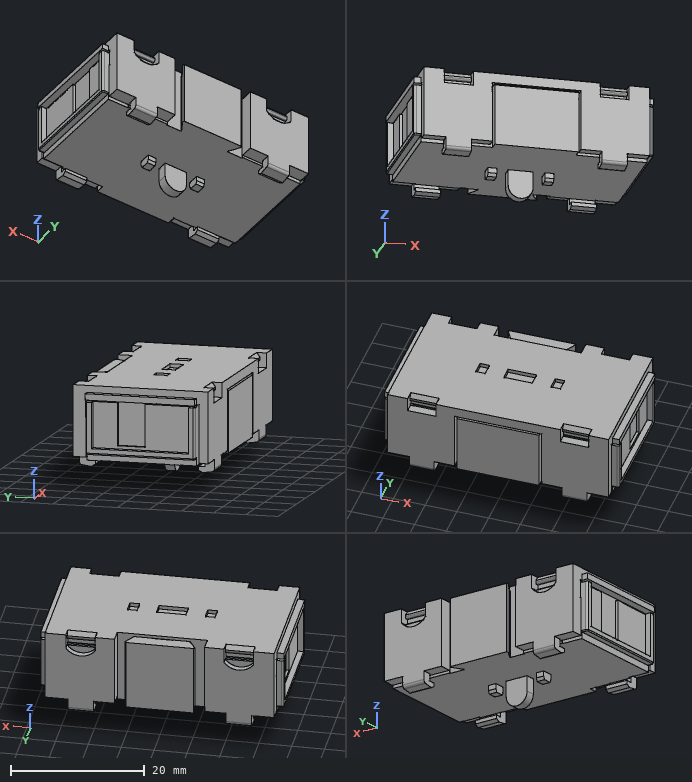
import cadquery as cq
import math

overall_length = 37.0
cover_length = 34.85
cover_width = 21.0
cover_top = 11.4
cover_bottom = 0.45
pin_bottom = -4.4

end_x = overall_length / 2
cover_x = cover_length / 2
cover_y = cover_width / 2

base_front_y = -9.1
base_rear_y = 8.47
base_top = 9.35
frame_top = 9.03

frame_front_y = -8.75
frame_rear_y = 8.3
frame_bottom = 1.07
frame_edge_x = 0.37
frame_edge_y = 0.22
frame_edge_radius = 0.45
frame_bottom_bevel_inset = 0.1
frame_bottom_bevel_z = 0.22
bar_top = 10.32

window_front_y = -7.77
window_rear_y = 7.33
window_bottom = 2.0
window_depth = 0.92
channel_front_y = -0.78
channel_rear_y = 3.5
channel_bottom = 2.48
channel_depth = 0.3
end_gap_inner_x = 13.88
bar_gap_front_y = -2.45
bar_gap_rear_y = 4.18
rear_gap_y = 8.6
rear_gap_step = 6.55

panel_half_width = 6.48
panel_top = 9.73
panel_bevel_height = 0.22
panel_bevel_depth = 0.15
groove_half_width = 6.85
groove_top = 9.85
groove_step_depth = 0.2

bay_half_width = 6.85
bay_y = 8.3
dovetail_top = 11.03
dovetail_narrow_half = 4.25
dovetail_wide_half = 5.33
dovetail_corner = 0.2
dovetail_neck_drop = 0.37
neck_rib_half = 1.6
neck_rib_drop = 0.2

clip_x = 12.02
clip_width = 4.45
clip_floor = 9.15
clip_back_y = 8.95
lip_y = 9.47
lip_slope_bottom = 10.7
lip_bottom = 10.15
lip_radius = 0.3
scoop_sag = 1.1

foot_width = 3.92
foot_inner_y = 9.03
hook_y = 8.0
hook_top = -0.7
hook_nose_bottom = -1.3
foot_bottom = -1.65
foot_toe_y = 8.65
foot_heel_y = 10.15
foot_heel_bottom = -1.45
foot_heel_top = -0.92
foot_heel_mid_inset = 0.07
foot_heel_mid_z = -1.25

pocket_width = 2.07
pocket_depth = 0.6
centre_pocket_length = 4.48
side_pocket_length = 1.48
side_pocket_x = 5.92
pin_radius = 1.92
pin_thickness = 1.6
post_x = 4.4
post_length = 1.37
post_width = 1.85
post_bottom = -1.35
post_bevel_height = 0.5
post_bevel = 0.22

SIDES = (-1, 1)


def block(x, y, z):
    """Box spanning the given (low, high) pairs."""
    size = (x[1] - x[0], y[1] - y[0], z[1] - z[0])
    return cq.Workplane("XY").box(*size, centered=False).translate((x[0], y[0], z[0]))


def end_block(side, inner_x, outer_x, y, z):
    """Box at the +X or -X end, between two distances from the middle."""
    x = sorted((side * inner_x, side * outer_x))
    return block(x, y, z)


def along_x(profile, centre_x, width):
    """Extrude a closed YZ profile symmetrically about centre_x."""
    return profile.extrude(width / 2, both=True).translate((centre_x, 0, 0))


def mirrored_to_rear(solid):
    return solid.mirror("XZ")


def cover_and_base():
    cover = block((-cover_x, cover_x), (-cover_y, cover_y), (cover_bottom, cover_top))
    base = block((-cover_x, cover_x), (base_front_y, base_rear_y), (0, base_top))
    return cover.union(base)


def end_frame(side):
    """Frame with rounded upright edges and a bevelled lower edge, rooted inside the base."""
    face_x = side * end_x
    root_x = side * (cover_x - channel_depth)
    rounded_x = side * (end_x - frame_edge_x)
    arc_radius = side * frame_edge_radius
    bevel_top = frame_bottom + frame_bottom_bevel_z
    upright = (
        cq.Workplane("XY", origin=(0, 0, bevel_top))
        .moveTo(root_x, frame_front_y)
        .lineTo(rounded_x, frame_front_y)
        .radiusArc((face_x, frame_front_y + frame_edge_y), -arc_radius)
        .lineTo(face_x, frame_rear_y - frame_edge_y)
        .radiusArc((rounded_x, frame_rear_y), -arc_radius)
        .lineTo(root_x, frame_rear_y)
        .close()
        .extrude(frame_top - bevel_top)
    )
    bevel_angle = math.degrees(math.atan2(frame_bottom_bevel_inset, frame_bottom_bevel_z))
    lower_edge = (
        upright.faces("<Z")
        .workplane()
        .add(upright.faces("<Z").wires())
        .toPending()
        .extrude(frame_bottom_bevel_z, taper=bevel_angle, combine=False)
    )
    return upright.union(lower_edge)


def end_bar(side):
    return end_block(side, cover_x, end_x, (frame_front_y, frame_rear_y), (base_top, bar_top))


def end_window(side):
    """Open-topped recess in the frame, with a deeper channel that widens under the bar."""
    floor_x = end_x - window_depth
    channel_x = cover_x - channel_depth
    window = end_block(side, floor_x, end_x, (window_front_y, window_rear_y), (window_bottom, frame_top))
    channel = end_block(
        side, channel_x, end_x, (channel_front_y, channel_rear_y), (channel_bottom, frame_top)
    )
    under_bar = end_block(
        side, channel_x, end_x, (bar_gap_front_y, bar_gap_rear_y), (frame_top, base_top)
    )
    slope = (
        cq.Workplane("XZ", origin=(0, frame_rear_y, 0))
        .moveTo(side * cover_x, frame_top)
        .lineTo(side * cover_x, base_top)
        .lineTo(side * channel_x, base_top)
        .close()
        .extrude(frame_rear_y - frame_front_y)
    )
    return window.union(channel).union(under_bar).union(slope)


def end_gaps(side):
    """Narrow gaps between the base and the long walls of the cover, open at one end."""
    front = end_block(side, end_gap_inner_x, cover_x, (base_front_y, frame_front_y), (0, base_top))
    rear = end_block(side, end_gap_inner_x, cover_x, (frame_rear_y, base_rear_y), (0, base_top))
    rear_upper = end_block(side, end_gap_inner_x, cover_x, (base_rear_y, rear_gap_y), (rear_gap_step, base_top))
    return front.union(rear).union(rear_upper)


def panel_groove():
    """Groove in the front face, leaving the panel standing inside it."""
    outer = (-groove_half_width, groove_half_width)
    groove = block(outer, (-cover_y, base_front_y), (0, groove_top))
    step = block(outer, (base_front_y, base_front_y + groove_step_depth), (frame_top, groove_top))
    return groove.union(step)


def front_panel():
    """Panel flush with the cover, with a bevel along its top front edge."""
    profile = (
        cq.Workplane("YZ")
        .moveTo(-cover_y, 0)
        .lineTo(-cover_y, panel_top - panel_bevel_height)
        .lineTo(-cover_y + panel_bevel_depth, panel_top)
        .lineTo(base_front_y + groove_step_depth, panel_top)
        .lineTo(base_front_y + groove_step_depth, 0)
        .close()
    )
    return along_x(profile, 0, 2 * panel_half_width)


def rear_bay():
    return block((-bay_half_width, bay_half_width), (bay_y, cover_y), (0, cover_top))


def dovetail():
    shoulder_y = cover_y - dovetail_corner
    right_side = [
        (dovetail_narrow_half, base_rear_y),
        (dovetail_wide_half, shoulder_y),
        (dovetail_wide_half - dovetail_corner, cover_y),
    ]
    left_side = [(-x, y) for x, y in reversed(right_side)]
    tail = cq.Workplane("XY").polyline(right_side + left_side).close().extrude(dovetail_top)
    neck_top = dovetail_top - dovetail_neck_drop
    neck = block((-dovetail_narrow_half, dovetail_narrow_half), (bay_y, base_rear_y), (0, neck_top))
    rib = block((-neck_rib_half, neck_rib_half), (bay_y, base_rear_y), (0, dovetail_top - neck_rib_drop))
    return tail.union(neck).union(rib)


def front_clip_window(x):
    """Edge notch at the front with an overhanging, sloped lip at its back."""
    profile = (
        cq.Workplane("YZ")
        .moveTo(-cover_y, cover_top)
        .lineTo(-clip_back_y, cover_top)
        .lineTo(-lip_y, lip_slope_bottom)
        .lineTo(-lip_y, lip_bottom + lip_radius)
        .radiusArc((-lip_y + lip_radius, lip_bottom), -lip_radius)
        .lineTo(-clip_back_y, lip_bottom)
        .lineTo(-clip_back_y, base_top)
        .lineTo(base_front_y, base_top)
        .lineTo(base_front_y, clip_floor)
        .lineTo(-cover_y, clip_floor)
        .close()
    )
    return along_x(profile, x, clip_width)


def rear_clip_window(x):
    """The front notch mirrored, with a concave floor."""
    half = clip_width / 2
    scoop = (
        cq.Workplane("XZ", origin=(x, cover_y, 0))
        .moveTo(-half, clip_floor)
        .threePointArc((0, clip_floor - scoop_sag), (half, clip_floor))
        .close()
        .extrude(cover_y - lip_y)
    )
    return mirrored_to_rear(front_clip_window(x)).union(scoop)


def front_foot(x):
    """Snap foot with an inward hook, hanging from the front wall of the cover."""
    profile = (
        cq.Workplane("YZ")
        .moveTo(-cover_y, cover_bottom)
        .lineTo(-cover_y, foot_heel_top)
        .threePointArc((-cover_y + foot_heel_mid_inset, foot_heel_mid_z), (-foot_heel_y, foot_heel_bottom))
        .lineTo(-foot_toe_y, foot_bottom)
        .lineTo(-hook_y, hook_nose_bottom)
        .lineTo(-hook_y, hook_top)
        .lineTo(-foot_inner_y, hook_top)
        .lineTo(-foot_inner_y, cover_bottom)
        .close()
    )
    return along_x(profile, x, foot_width)


def top_pocket(x, length):
    y = pocket_width / 2
    return block((x - length / 2, x + length / 2), (-y, y), (cover_top - pocket_depth, cover_top))


def pin():
    """Flat pin with a round tip, centred under the base."""
    tip_centre_z = pin_bottom + pin_radius
    profile = (
        cq.Workplane("XZ")
        .moveTo(-pin_radius, 0)
        .lineTo(-pin_radius, tip_centre_z)
        .threePointArc((0, pin_bottom), (pin_radius, tip_centre_z))
        .lineTo(pin_radius, 0)
        .close()
    )
    return profile.extrude(pin_thickness / 2, both=True)


def post(x):
    """Short post under the base with its two long lower edges bevelled."""
    y = post_width / 2
    solid = block((x - post_length / 2, x + post_length / 2), (-y, y), (post_bottom, 0))
    return solid.faces("<Z").edges("|X").chamfer(post_bevel_height, post_bevel)


result = cover_and_base().cut(panel_groove()).union(front_panel())
result = result.cut(rear_bay()).union(dovetail())

for side in SIDES:
    result = result.cut(end_gaps(side)).union(end_frame(side)).union(end_bar(side))
    result = result.cut(end_window(side))
    result = result.cut(front_clip_window(side * clip_x)).cut(rear_clip_window(side * clip_x))
    foot = front_foot(side * clip_x)
    result = result.union(foot).union(mirrored_to_rear(foot))
    result = result.cut(top_pocket(side * side_pocket_x, side_pocket_length))
    result = result.union(post(side * post_x))

result = result.cut(top_pocket(0, centre_pocket_length)).union(pin())